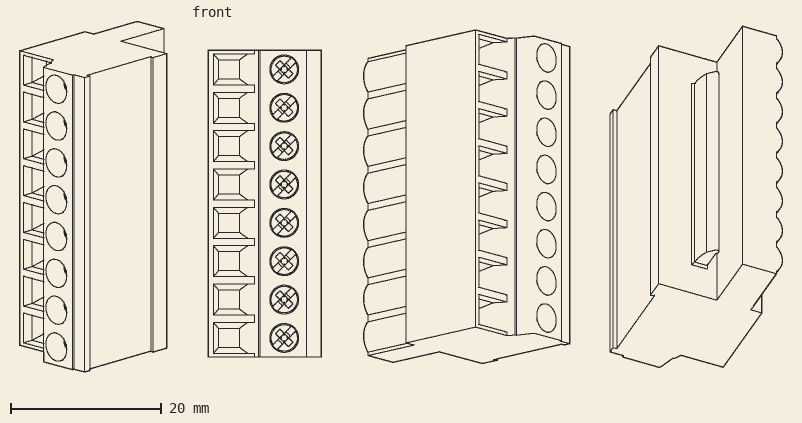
import cadquery as cq
import math

POLES = 8
LENGTH_Z = 40.65
PITCH = LENGTH_Z / POLES
WIDTH_X = 15.0
DEPTH_Y = 24.3
COS_45 = math.cos(math.pi / 4)

BODY_BACK_Y = 16.0
WIRE_FACE_Y = 3.5
RAMP_TOP_X = 6.15
RAMP_END_X = 6.65
RAMP_END_Y = 2.5
LEDGE_X = 6.85
LEDGE_Y = 2.45
NOSE_X = 7.65
NOSE_RADIUS = 0.35
FRONT_STEP_X = 13.05
FRONT_STEP = 0.3
LABEL_GROOVE_X = 14.45
LABEL_GROOVE_FRONT_Y = 1.3
LABEL_GROOVE_BACK_Y = 13.55
LABEL_GROOVE_LIP = 0.2

RAIL_LEFT_X = 1.6
RAIL_RIGHT_X = 6.55
RIB_CHORD = 4.15
RIB_HEIGHT = 0.85

ENTRY_LEFT_X = 0.7
ENTRY_HEIGHT = 4.1
SHELF_END_X = 5.25
FLOOR_LEFT_X = 1.4
FLOOR_RIGHT_X = 4.15
FLOOR_HEIGHT = 2.5

SCREW_X = 10.08
BORE_DIAMETER = 3.8
BORE_DEPTH = 4.88
HEAD_HEIGHT = 1.63
HEAD_EDGE_WIDTH = 0.15
HEAD_EDGE_RISE = 0.25
CROWN_RISE = 0.35
SLOT_WIDTH = 0.85
SLOT_DEPTH = 0.12
SLOT_ANGLE = 45.0
CROSS_FLARE_RADIUS = 0.98
CROSS_CORE = 0.5
CROSS_DEPTH = 1.45

LATCH_END_GAP = PITCH
LATCH_BASE_HEIGHT = 0.4
LATCH_BASE_FLARE = 0.25
LATCH_LEFT_X = 8.13
LATCH_RIGHT_X = 9.95
LATCH_HEIGHT = 3.9
LATCH_SHOULDER_HEIGHT = 2.93
LATCH_SHOULDER_X = 9.35
LATCH_BACK_HEIGHT = 1.85
LATCH_BACK_X = 9.75
LATCH_HOOK_HEIGHT = 3.1
HOOK_RADIUS = 0.35
HOOK_CENTER_X = 8.25


def box(x0, x1, y0, y1, z0, z1):
    return cq.Workplane("XY").box(x1 - x0, y1 - y0, z1 - z0, centered=False).translate((x0, y0, z0))


def ramp_y(x):
    """Y of the inclined ramp plane, extended into the wire entries."""
    slope = (WIRE_FACE_Y - RAMP_END_Y) / (RAMP_TOP_X - RAMP_END_X)
    return RAMP_END_Y + slope * (x - RAMP_END_X)


def housing():
    outline = [
        (0, WIRE_FACE_Y),
        (RAMP_TOP_X, WIRE_FACE_Y),
        (RAMP_END_X, RAMP_END_Y),
        (LEDGE_X, LEDGE_Y),
        (NOSE_X, 0),
        (FRONT_STEP_X, 0),
        (FRONT_STEP_X, FRONT_STEP),
        (WIDTH_X, FRONT_STEP),
        (WIDTH_X, LABEL_GROOVE_FRONT_Y),
        (LABEL_GROOVE_X, LABEL_GROOVE_FRONT_Y),
        (LABEL_GROOVE_X, LABEL_GROOVE_BACK_Y),
        (WIDTH_X, LABEL_GROOVE_BACK_Y - LABEL_GROOVE_LIP),
        (WIDTH_X, BODY_BACK_Y),
        (0, BODY_BACK_Y),
    ]
    block = cq.Workplane("XY").polyline(outline).close().extrude(LENGTH_Z)
    nose_edge = cq.selectors.NearestToPointSelector((NOSE_X, 0, LENGTH_Z / 2))
    return block.edges("|Z").edges(nose_edge).fillet(NOSE_RADIUS)


def plug_rail():
    return box(RAIL_LEFT_X, RAIL_RIGHT_X, BODY_BACK_Y, DEPTH_Y, 0, LENGTH_Z)


def rail_rib(z):
    """Rounded rib along Y, standing out of the -X side of the rail."""
    return (
        cq.Workplane("XZ", origin=(0, DEPTH_Y, 0))
        .moveTo(RAIL_LEFT_X, z - RIB_CHORD / 2)
        .threePointArc((RAIL_LEFT_X - RIB_HEIGHT, z), (RAIL_LEFT_X, z + RIB_CHORD / 2))
        .close()
        .extrude(DEPTH_Y - BODY_BACK_Y)
    )


def latch():
    """Hooked bar on a flared base."""
    bar_length = LENGTH_Z - 2 * LATCH_END_GAP
    width = LATCH_RIGHT_X - LATCH_LEFT_X
    center = ((LATCH_LEFT_X + LATCH_RIGHT_X) / 2, BODY_BACK_Y, LENGTH_Z / 2)
    base = (
        cq.Workplane(cq.Plane(center, xDir=(1, 0, 0), normal=(0, 1, 0)))
        .rect(width + 2 * LATCH_BASE_FLARE, bar_length + 2 * LATCH_BASE_FLARE)
        .workplane(offset=LATCH_BASE_HEIGHT)
        .rect(width, bar_length)
        .loft(combine=True)
    )
    hook_center_y = LATCH_HEIGHT - HOOK_RADIUS
    diagonal = HOOK_RADIUS * COS_45
    bar = (
        cq.Workplane("XY", origin=(0, BODY_BACK_Y, LATCH_END_GAP))
        .moveTo(LATCH_LEFT_X, LATCH_BASE_HEIGHT)
        .lineTo(LATCH_LEFT_X, LATCH_HOOK_HEIGHT)
        .lineTo(HOOK_CENTER_X - diagonal, hook_center_y - diagonal)
        .threePointArc(
            (HOOK_CENTER_X - diagonal, hook_center_y + diagonal),
            (HOOK_CENTER_X + diagonal, hook_center_y + diagonal),
        )
        .lineTo(LATCH_SHOULDER_X, LATCH_SHOULDER_HEIGHT)
        .threePointArc((LATCH_BACK_X, LATCH_BACK_HEIGHT), (LATCH_RIGHT_X, LATCH_BASE_HEIGHT))
        .close()
        .extrude(bar_length)
    )
    return base.union(bar)


def wire_entry(z):
    """Pocket with flat shelves at the mouth and a funnel to a rectangular floor."""
    shelf_end_y = ramp_y(SHELF_END_X)
    floor_y = ramp_y(FLOOR_RIGHT_X)
    mouth = (
        cq.Workplane("XY", origin=(0, 0, z - ENTRY_HEIGHT / 2))
        .polyline([
            (ENTRY_LEFT_X, WIRE_FACE_Y),
            (RAMP_TOP_X, WIRE_FACE_Y),
            (SHELF_END_X, shelf_end_y),
            (ENTRY_LEFT_X, shelf_end_y),
        ])
        .close()
        .extrude(ENTRY_HEIGHT)
    )
    shelf_center_x = (ENTRY_LEFT_X + SHELF_END_X) / 2
    floor_center_x = (FLOOR_LEFT_X + FLOOR_RIGHT_X) / 2
    funnel = (
        cq.Workplane(cq.Plane((shelf_center_x, shelf_end_y, z), xDir=(1, 0, 0), normal=(0, 1, 0)))
        .rect(SHELF_END_X - ENTRY_LEFT_X, ENTRY_HEIGHT)
        .workplane(offset=floor_y - shelf_end_y)
        .center(floor_center_x - shelf_center_x, 0)
        .rect(FLOOR_RIGHT_X - FLOOR_LEFT_X, FLOOR_HEIGHT)
        .loft(combine=True)
    )
    return mouth.union(funnel)


def screw_bore(z):
    return (
        cq.Workplane("XZ", origin=(SCREW_X, 0, z))
        .circle(BORE_DIAMETER / 2)
        .extrude(-BORE_DEPTH)
    )


def cross_arm():
    """Two opposite arms of the cross recess, flaring out convexly towards the crown."""
    core = CROSS_CORE / 2
    flare_end = core + CROSS_FLARE_RADIUS
    top = HEAD_HEIGHT
    crown = top + CROWN_RISE
    middle = CROSS_FLARE_RADIUS * COS_45
    arc_bottom = top - CROSS_FLARE_RADIUS
    return (
        cq.Workplane("XZ")
        .moveTo(-core, crown - CROSS_DEPTH)
        .lineTo(core, crown - CROSS_DEPTH)
        .lineTo(core, arc_bottom)
        .threePointArc((flare_end - middle, arc_bottom + middle), (flare_end, top))
        .lineTo(flare_end, crown)
        .lineTo(-flare_end, crown)
        .lineTo(-flare_end, top)
        .threePointArc((middle - flare_end, arc_bottom + middle), (-core, arc_bottom))
        .close()
        .extrude(SLOT_WIDTH / 2, both=True)
    )


def screw_head():
    """Screw head standing on the XY plane, axis along Z."""
    radius = BORE_DIAMETER / 2
    crown = HEAD_HEIGHT + CROWN_RISE
    head = (
        cq.Workplane("XZ")
        .polyline([
            (0, 0),
            (radius, 0),
            (radius, HEAD_HEIGHT - HEAD_EDGE_RISE),
            (radius - HEAD_EDGE_WIDTH, HEAD_HEIGHT),
            (0, crown),
        ])
        .close()
        .revolve(360, (0, 0), (0, 1))
    )
    slot_floor = HEAD_HEIGHT - SLOT_DEPTH
    slot = box(-radius, radius, -SLOT_WIDTH / 2, SLOT_WIDTH / 2, slot_floor, crown)
    drive = slot.union(cross_arm()).union(cross_arm().rotate((0, 0, 0), (0, 0, 1), 90))
    return head.cut(drive.rotate((0, 0, 0), (0, 0, 1), SLOT_ANGLE))


result = housing().union(plug_rail()).union(latch())

facing_head = screw_head().rotate((0, 0, 0), (1, 0, 0), 90).translate((SCREW_X, BORE_DEPTH, 0))

for pole in range(POLES):
    z = (pole + 0.5) * PITCH
    result = result.union(rail_rib(z))
    result = result.cut(wire_entry(z))
    result = result.cut(screw_bore(z))
    result = result.union(facing_head.translate((0, 0, z)))